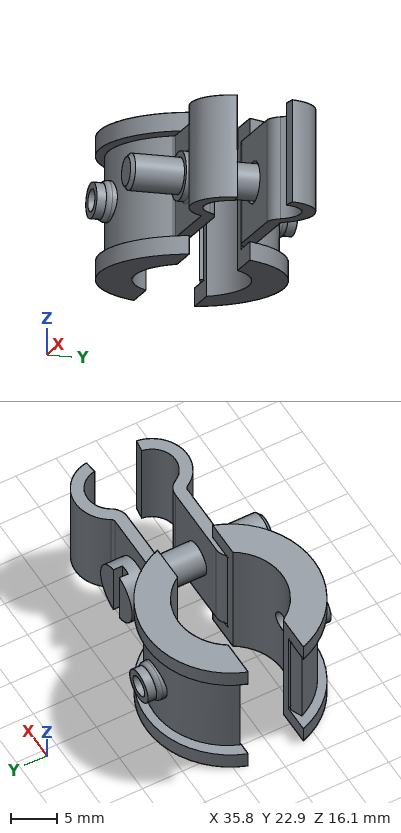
import cadquery as cq
import math


insert_bore_radius = 6.5
insert_flange_radius = 10.45
insert_groove_radius = 7.5
insert_face_y = 3.45
insert_height = 15.95
flange_thickness = 2.08
insert_shift_z = 0.055

nipple_bore_radius = 1.25
nipple_radius = 2.0
nipple_tip_y = 11.45
shoulder_radius = 2.3
shoulder_straight_y = 9.75
shoulder_end_y = 10.35

strap_height = 11.47
sheet_thickness = 1.5
arm_inner_y = 3.0
arm_outer_y = arm_inner_y + sheet_thickness
large_bend_radius = 0.35
small_bend_radius = 0.55
large_loop_radius = 9.15
large_loop_y = 0.35
plain_strap_end_angle = 21.3
threaded_strap_end_angle = 24.5
small_loop_radius = 4.45
small_loop_x = 21.55
small_loop_y = 2.55
small_loop_end_angle = 7.5

screw_x = 12.47
screw_radius = 2.05
screw_tip_y = -11.47
screw_tip_chamfer = 0.43
head_radius = 3.45
head_height = 2.58
slot_width = 1.3
slot_depth = 1.1
clearance_hole_radius = 2.33
thread_collar_radius = 2.74
thread_collar_height = 0.95
thread_collar_fillet = 0.2


def polar(center, radius, angle):
    """Point at a radius and an angle in radians from a center."""
    return (center[0] + radius * math.cos(angle), center[1] + radius * math.sin(angle))


def cylinder_y(x, radius, y_start, y_end):
    """Cylinder along +Y from y_start to y_end."""
    disc = cq.Workplane("XZ", origin=(x, y_start, 0)).circle(radius)
    return disc.extrude(y_start - y_end)


def mirrored(body):
    """The opposite clamp half, across the plane Y = 0."""
    return body.mirror("XZ")


def make_nipple():
    """Nipple with a rounded shoulder, starting inside the insert wall."""
    root_y = (insert_bore_radius + insert_groove_radius) / 2
    length = shoulder_end_y - shoulder_straight_y
    drop = shoulder_radius - nipple_radius
    round_radius = (length**2 + drop**2) / (2 * drop)
    round_center = (shoulder_radius - round_radius, shoulder_straight_y)
    round_middle = polar(round_center, round_radius, math.asin(length / round_radius) / 2)
    return (
        cq.Workplane("XY")
        .moveTo(0, root_y)
        .lineTo(shoulder_radius, root_y)
        .lineTo(shoulder_radius, shoulder_straight_y)
        .threePointArc(round_middle, (nipple_radius, shoulder_end_y))
        .lineTo(nipple_radius, nipple_tip_y)
        .lineTo(0, nipple_tip_y)
        .close()
        .revolve(360, (0, 0, 0), (0, 1, 0))
    )


def make_insert():
    """Insert of the +Y half."""
    groove_height = insert_height - 2 * flange_thickness
    bush = cq.Workplane("XY").circle(insert_flange_radius).extrude(insert_height / 2, both=True)
    groove = (
        cq.Workplane("XY")
        .circle(insert_flange_radius)
        .circle(insert_groove_radius)
        .extrude(groove_height / 2, both=True)
    )
    bore = cq.Workplane("XY").circle(insert_bore_radius).extrude(insert_height / 2, both=True)
    kept_side = cq.Workplane("XY").box(
        2 * insert_flange_radius, insert_flange_radius, insert_height, centered=(True, False, True)
    ).translate((0, insert_face_y, 0))
    half_bush = bush.cut(groove).cut(bore).intersect(kept_side)
    nipple_bore = cylinder_y(0, nipple_bore_radius, 0, nipple_tip_y)
    return half_bush.union(make_nipple()).cut(nipple_bore)


def make_strap(large_end_angle, nipple_z):
    """Strap of the +Y half with its nipple hole; the large loop stops at the end angle."""
    large_center = (0, large_loop_y)
    small_center = (small_loop_x, small_loop_y)
    large_bend_y = arm_outer_y + large_bend_radius
    small_bend_y = arm_outer_y + small_bend_radius

    large_bend_rise = large_bend_y - large_loop_y
    large_bend_angle = math.asin(large_bend_rise / (large_loop_radius + large_bend_radius))
    small_bend_rise = small_bend_y - small_loop_y
    small_bend_angle = math.pi - math.asin(small_bend_rise / (small_loop_radius + small_bend_radius))
    large_bend = polar(large_center, large_loop_radius + large_bend_radius, large_bend_angle)
    small_bend = polar(small_center, small_loop_radius + small_bend_radius, small_bend_angle)

    large_end = math.pi - math.radians(large_end_angle)
    small_end = math.radians(small_loop_end_angle)
    down = -math.pi / 2
    large_bend_start = large_bend_angle - math.pi
    small_bend_end = small_bend_angle - math.pi
    large_bend_middle = (large_bend_start + down) / 2
    small_bend_middle = (down + small_bend_end) / 2
    crown = math.pi / 2

    large_inner = large_loop_radius - sheet_thickness
    small_inner = small_loop_radius - sheet_thickness
    large_bend_outer = large_bend_radius + sheet_thickness
    small_bend_outer = small_bend_radius + sheet_thickness

    sheet = (
        cq.Workplane("XY")
        .moveTo(*polar(large_center, large_loop_radius, large_end))
        .threePointArc(
            polar(large_center, large_loop_radius, crown),
            polar(large_center, large_loop_radius, large_bend_angle),
        )
        .threePointArc(
            polar(large_bend, large_bend_radius, large_bend_middle),
            polar(large_bend, large_bend_radius, down),
        )
        .lineTo(*polar(small_bend, small_bend_radius, down))
        .threePointArc(
            polar(small_bend, small_bend_radius, small_bend_middle),
            polar(small_bend, small_bend_radius, small_bend_end),
        )
        .threePointArc(
            polar(small_center, small_loop_radius, crown),
            polar(small_center, small_loop_radius, small_end),
        )
        .lineTo(*polar(small_center, small_inner, small_end))
        .threePointArc(
            polar(small_center, small_inner, crown),
            polar(small_center, small_inner, small_bend_angle),
        )
        .threePointArc(
            polar(small_bend, small_bend_outer, small_bend_middle),
            polar(small_bend, small_bend_outer, down),
        )
        .lineTo(*polar(large_bend, large_bend_outer, down))
        .threePointArc(
            polar(large_bend, large_bend_outer, large_bend_middle),
            polar(large_bend, large_bend_outer, large_bend_start),
        )
        .threePointArc(
            polar(large_center, large_inner, crown),
            polar(large_center, large_inner, large_end),
        )
        .close()
        .extrude(strap_height / 2, both=True)
    )
    nipple_hole = cylinder_y(0, shoulder_radius, 0, nipple_tip_y)
    return sheet.cut(nipple_hole.translate((0, 0, nipple_z)))


def make_plain_strap():
    """Strap under the screw head, with a clearance hole."""
    strap = make_strap(plain_strap_end_angle, -insert_shift_z)
    return strap.cut(cylinder_y(screw_x, clearance_hole_radius, 0, arm_outer_y))


def make_threaded_strap():
    """Strap of the -Y half, with a filleted collar around the screw."""
    collar_end_y = arm_outer_y + thread_collar_height
    fillet = thread_collar_fillet
    fillet_center = (thread_collar_radius + fillet, arm_outer_y + fillet)
    collar = (
        cq.Workplane("XY")
        .moveTo(0, arm_inner_y)
        .lineTo(fillet_center[0], arm_inner_y)
        .lineTo(fillet_center[0], arm_outer_y)
        .threePointArc(
            polar(fillet_center, fillet, math.radians(225)),
            (thread_collar_radius, fillet_center[1]),
        )
        .lineTo(thread_collar_radius, collar_end_y)
        .lineTo(0, collar_end_y)
        .close()
        .revolve(360, (0, 0, 0), (0, 1, 0))
        .translate((screw_x, 0, 0))
    )
    thread_hole = cylinder_y(screw_x, screw_radius, 0, collar_end_y)
    strap = make_strap(threaded_strap_end_angle, insert_shift_z)
    return mirrored(strap.union(collar).cut(thread_hole))


def make_screw():
    """Slotted cheese-head screw along -Y."""
    head_top_y = arm_outer_y + head_height
    shank = cylinder_y(screw_x, screw_radius, screw_tip_y, arm_outer_y)
    shank = shank.faces("<Y").chamfer(screw_tip_chamfer)
    head = cylinder_y(screw_x, head_radius, arm_outer_y, head_top_y)
    slot = cq.Workplane("XY").box(slot_width, 2 * slot_depth, 2 * head_radius)
    return shank.union(head).cut(slot.translate((screw_x, head_top_y, 0)))


upper_insert = make_insert().translate((0, 0, -insert_shift_z))
lower_insert = mirrored(make_insert()).translate((0, 0, insert_shift_z))
plain_strap = make_plain_strap()
threaded_strap = make_threaded_strap()
screw = make_screw()

result = cq.Compound.makeCompound(
    [upper_insert.val(), lower_insert.val(), plain_strap.val(), threaded_strap.val(), screw.val()]
)